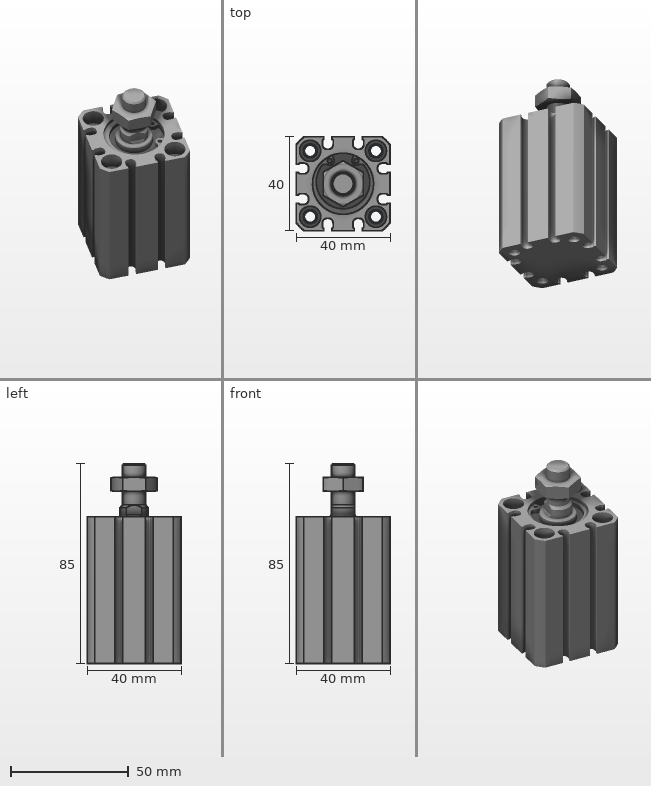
import cadquery as cq
import math


BODY_WIDTH = 40.0
BODY_HEIGHT = 62.5
CORNER_DIAMETER = 52.0

SLOT_OFFSET = 6.5
SLOT_MOUTH_WIDTH = 3.4
SLOT_WIDTH = 4.46
SLOT_DEPTH = 5.25
SLOT_LIP_DEPTH = 1.0
SLOT_LIP_BEVEL = (SLOT_WIDTH - SLOT_MOUTH_WIDTH) / 2
SLOT_CORNER_RADIUS = 1.85

MOUNT_SPACING = 28.0
MOUNT_DIAMETER = 4.92
MOUNT_CHAMFER_DIAMETER = 6.0
COUNTERBORE_DIAMETER = 9.0
COUNTERBORE_DEPTH = 7.0

RECESS_DIAMETER = 26.0
RECESS_DEPTH = 3.8
RECESS_FLOOR = BODY_HEIGHT - RECESS_DEPTH
COLLAR_DIAMETER = 16.0
COLLAR_TOP = BODY_HEIGHT - 0.5
COLLAR_CHAMFER = 0.4

RING_TOP = BODY_HEIGHT - 1.7
RING_THICKNESS = RING_TOP - RECESS_FLOOR
RING_OPENING_DIAMETER = 22.8
RING_OPENING_OFFSET = 0.8
LUG_HOLE_DIAMETER = 2.0
LUG_HOLE_X = 5.65
LUG_HOLE_Y = 9.75
LUG_RADIUS = 1.9
LUG_FILLET = 2.0

ROD_DIAMETER = 12.0
THREAD_DIAMETER = 10.0
ROD_TOP = 85.0
THREAD_START = 67.5
SHOULDER_HEIGHT = 1.25
TIP_DIAMETER = 8.65
TIP_CHAMFER = (THREAD_DIAMETER - TIP_DIAMETER) / 2
FLATS_WIDTH = 10.0
FLATS_BOTTOM = 63.3
FLATS_RUNOUT_ANGLE = 30.0

NUT_WIDTH = 17.0
NUT_BOTTOM = 73.3
NUT_THICKNESS = 6.0
NUT_CHAMFER_ANGLE = 15.0


def cylinder(diameter, bottom, top):
    """Upright cylinder on the bore axis."""
    return cq.Workplane("XY").workplane(offset=bottom).circle(diameter / 2).extrude(top - bottom)


def make_slot():
    """Slot cutter on the +Y side: narrow mouth, bevelled lips and a rounded bottom."""
    mouth = SLOT_MOUTH_WIDTH / 2
    half = SLOT_WIDTH / 2
    face = BODY_WIDTH / 2
    lip = face - SLOT_LIP_DEPTH
    wall_top = lip - SLOT_LIP_BEVEL
    bottom = face - SLOT_DEPTH
    arc_start = bottom + SLOT_CORNER_RADIUS
    flat = half - SLOT_CORNER_RADIUS
    return (
        cq.Workplane("XY")
        .moveTo(-mouth, face)
        .lineTo(-mouth, lip)
        .lineTo(-half, wall_top)
        .lineTo(-half, arc_start)
        .radiusArc((-flat, bottom), -SLOT_CORNER_RADIUS)
        .lineTo(flat, bottom)
        .radiusArc((half, arc_start), -SLOT_CORNER_RADIUS)
        .lineTo(half, wall_top)
        .lineTo(mouth, lip)
        .lineTo(mouth, face)
        .close()
        .extrude(BODY_HEIGHT)
    )


def make_mount_hole():
    """Cutter for one mounting hole: counterbore, conical lead-in and through hole."""
    seat = BODY_HEIGHT - COUNTERBORE_DEPTH
    drill = MOUNT_DIAMETER / 2
    lead_in = MOUNT_CHAMFER_DIAMETER / 2
    profile = [
        (0, 0),
        (drill, 0),
        (drill, seat - (lead_in - drill)),
        (lead_in, seat),
        (COUNTERBORE_DIAMETER / 2, seat),
        (COUNTERBORE_DIAMETER / 2, BODY_HEIGHT),
        (0, BODY_HEIGHT),
    ]
    return cq.Workplane("XZ").polyline(profile).close().revolve(360, (0, 0), (0, 1))


def make_lug_pad():
    """Left plier lug: round about its hole, with a radial edge facing the gap of the ring."""
    hole_distance = math.hypot(LUG_HOLE_X, LUG_HOLE_Y)
    hole_angle = math.atan2(LUG_HOLE_Y, -LUG_HOLE_X)
    gap_angle = hole_angle - math.asin(LUG_RADIUS / hole_distance)
    gap_foot = math.sqrt(hole_distance**2 - LUG_RADIUS**2)
    reach = RECESS_DIAMETER / 2
    web = [
        (-LUG_HOLE_X, LUG_HOLE_Y),
        (gap_foot * math.cos(gap_angle), gap_foot * math.sin(gap_angle)),
        (reach * math.cos(gap_angle), reach * math.sin(gap_angle)),
        (-LUG_HOLE_X, reach),
    ]
    base = cq.Workplane("XY").workplane(offset=RECESS_FLOOR)
    pad = base.center(-LUG_HOLE_X, LUG_HOLE_Y).circle(LUG_RADIUS).extrude(RING_THICKNESS)
    return pad.union(base.polyline(web).close().extrude(RING_THICKNESS))


def make_ring():
    """Retaining ring filling the edge of the recess, open between its two lugs."""
    blank = cylinder(RECESS_DIAMETER, RECESS_FLOOR, RING_TOP)
    opening = cylinder(RING_OPENING_DIAMETER, RECESS_FLOOR, RING_TOP).translate((0, RING_OPENING_OFFSET, 0))
    left_pad = make_lug_pad()
    right_pad = left_pad.mirror("YZ")
    gap = (
        cq.Workplane("XY")
        .workplane(offset=RECESS_FLOOR)
        .center(0, RECESS_DIAMETER / 2)
        .rect(2 * LUG_HOLE_X, RECESS_DIAMETER / 2)
        .extrude(RING_THICKNESS)
    )
    opening = opening.union(gap).cut(left_pad).cut(right_pad)
    opening_radius = RING_OPENING_DIAMETER / 2
    lug_bottom = LUG_HOLE_Y - LUG_RADIUS
    left_corner = cq.selectors.BoxSelector(
        (-opening_radius, lug_bottom, RECESS_FLOOR), (-LUG_HOLE_X - LUG_RADIUS / 2, LUG_HOLE_Y, RING_TOP)
    )
    right_corner = cq.selectors.BoxSelector(
        (LUG_HOLE_X + LUG_RADIUS / 2, lug_bottom, RECESS_FLOOR), (opening_radius, LUG_HOLE_Y, RING_TOP)
    )
    opening = opening.edges("|Z").edges(left_corner + right_corner).fillet(LUG_FILLET)
    lug_holes = (
        cq.Workplane("XY")
        .workplane(offset=RECESS_FLOOR)
        .pushPoints([(-LUG_HOLE_X, LUG_HOLE_Y), (LUG_HOLE_X, LUG_HOLE_Y)])
        .circle(LUG_HOLE_DIAMETER / 2)
        .extrude(RING_THICKNESS)
    )
    return blank.cut(opening).cut(lug_holes)


def make_housing():
    """Extruded block with slots, mounting holes and the rod end: recess, collar and ring."""
    body = cq.Workplane("XY").rect(BODY_WIDTH, BODY_WIDTH).extrude(BODY_HEIGHT)
    body = body.intersect(cylinder(CORNER_DIAMETER, 0, BODY_HEIGHT))

    slot = make_slot()
    for side in range(4):
        for offset in (-SLOT_OFFSET, SLOT_OFFSET):
            body = body.cut(slot.translate((offset, 0, 0)).rotate((0, 0, 0), (0, 0, 1), 90 * side))

    mount_hole = make_mount_hole()
    for x in (-MOUNT_SPACING / 2, MOUNT_SPACING / 2):
        for y in (-MOUNT_SPACING / 2, MOUNT_SPACING / 2):
            body = body.cut(mount_hole.translate((x, y, 0)))

    body = body.cut(cylinder(RECESS_DIAMETER, RECESS_FLOOR, BODY_HEIGHT))
    collar = cylinder(COLLAR_DIAMETER, RECESS_FLOOR, COLLAR_TOP).faces(">Z").chamfer(COLLAR_CHAMFER)
    body = body.union(collar).union(make_ring())
    return body.cut(cylinder(ROD_DIAMETER, RECESS_FLOOR, BODY_HEIGHT))


def make_rod():
    """Rod seated in the collar, with a conical shoulder, a chamfered thread and two wrench flats."""
    rod_radius = ROD_DIAMETER / 2
    thread_radius = THREAD_DIAMETER / 2
    profile = [
        (0, RECESS_FLOOR),
        (rod_radius, RECESS_FLOOR),
        (rod_radius, THREAD_START - SHOULDER_HEIGHT),
        (thread_radius, THREAD_START),
        (thread_radius, ROD_TOP - TIP_CHAMFER),
        (TIP_DIAMETER / 2, ROD_TOP),
        (0, ROD_TOP),
    ]
    rod = cq.Workplane("XZ").polyline(profile).close().revolve(360, (0, 0), (0, 1))

    flat = FLATS_WIDTH / 2
    runout = (rod_radius - flat) / math.tan(math.radians(FLATS_RUNOUT_ANGLE))
    flat_profile = [
        (flat, FLATS_BOTTOM),
        (rod_radius, FLATS_BOTTOM - runout),
        (rod_radius, THREAD_START),
        (flat, THREAD_START),
    ]
    flat_cut = cq.Workplane("XZ").polyline(flat_profile).close().extrude(rod_radius, both=True)
    return rod.cut(flat_cut).cut(flat_cut.mirror("YZ"))


def make_nut():
    """Hexagon nut with its corners chamfered on both ends and flats facing -X and +X."""
    corner_diameter = NUT_WIDTH / math.cos(math.pi / 6)
    corner_radius = corner_diameter / 2
    face_radius = NUT_WIDTH / 2
    drop = (corner_radius - face_radius) * math.tan(math.radians(NUT_CHAMFER_ANGLE))
    top = NUT_BOTTOM + NUT_THICKNESS
    hexagon = (
        cq.Workplane("XY")
        .workplane(offset=NUT_BOTTOM)
        .polygon(6, corner_diameter)
        .extrude(NUT_THICKNESS)
        .rotate((0, 0, 0), (0, 0, 1), 30)
    )
    envelope_profile = [
        (0, NUT_BOTTOM),
        (face_radius, NUT_BOTTOM),
        (corner_radius, NUT_BOTTOM + drop),
        (corner_radius, top - drop),
        (face_radius, top),
        (0, top),
    ]
    envelope = cq.Workplane("XZ").polyline(envelope_profile).close().revolve(360, (0, 0), (0, 1))
    return hexagon.intersect(envelope).cut(cylinder(THREAD_DIAMETER, NUT_BOTTOM, top))


housing = make_housing()
rod = make_rod()
nut = make_nut()

result = cq.Compound.makeCompound([housing.val(), rod.val(), nut.val()])